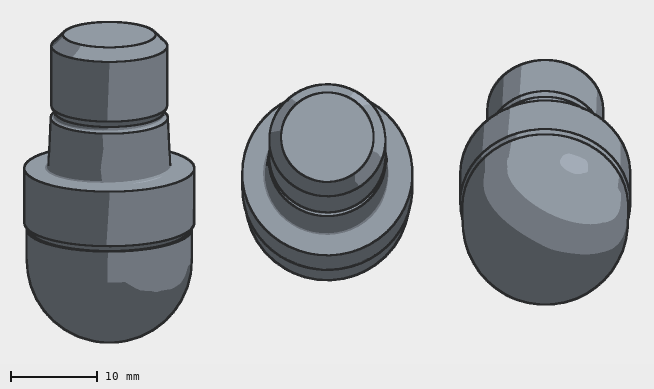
import cadquery as cq
import math

total_height = 36.5
dome_radius = 9.53
dome_height = 13.25
collar_edge_z = 13.98
collar_top_z = 20.5
neck_top_z = 26.57
groove_top_z = 27.23
shank_bottom_z = 28.0

collar_diameter = 19.6
collar_radius = collar_diameter / 2
collar_seat_radius = 9.25
neck_bottom_radius = 7.0
neck_top_radius = 6.75
groove_radius = 6.25
shank_radius = 6.68
shank_chamfer = 1.35
root_fillet = 0.45
groove_fillet = 0.33

arc_inset = 1 - math.sqrt(0.5)


def make_dome():
    """Solid cylinder with a hemispherical lower end."""
    arc_middle = (dome_radius * math.sqrt(0.5), dome_radius * arc_inset)
    profile = (
        cq.Workplane("XZ")
        .moveTo(0, 0)
        .threePointArc(arc_middle, (dome_radius, dome_radius))
        .lineTo(dome_radius, dome_height)
        .lineTo(0, dome_height)
        .close()
    )
    return profile.revolve(360, (0, 0, 0), (0, 1, 0))


def make_stud():
    """Collar, tapered neck, undercut groove and chamfered shank, turned as one piece."""
    root_middle = (neck_bottom_radius + root_fillet * arc_inset, collar_top_z + root_fillet * arc_inset)
    groove_middle = (groove_radius + groove_fillet * arc_inset, neck_top_z + groove_fillet * arc_inset)
    profile = (
        cq.Workplane("XZ")
        .moveTo(0, dome_height)
        .lineTo(collar_seat_radius, dome_height)
        .lineTo(collar_radius, collar_edge_z)
        .lineTo(collar_radius, collar_top_z)
        .lineTo(neck_bottom_radius + root_fillet, collar_top_z)
        .threePointArc(root_middle, (neck_bottom_radius, collar_top_z + root_fillet))
        .lineTo(neck_top_radius, neck_top_z)
        .lineTo(groove_radius + groove_fillet, neck_top_z)
        .threePointArc(groove_middle, (groove_radius, neck_top_z + groove_fillet))
        .lineTo(groove_radius, groove_top_z)
        .lineTo(shank_radius, shank_bottom_z)
        .lineTo(shank_radius, total_height - shank_chamfer)
        .lineTo(shank_radius - shank_chamfer, total_height)
        .lineTo(0, total_height)
        .close()
    )
    return profile.revolve(360, (0, 0, 0), (0, 1, 0))


dome = make_dome()
stud = make_stud()
result = cq.Compound.makeCompound([dome.val(), stud.val()])